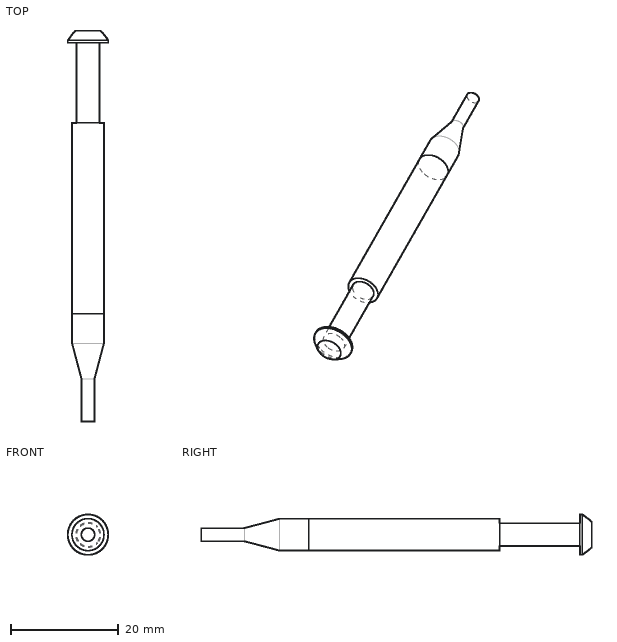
import cadquery as cq

total_length = 72.8

head_diameter = 7.6
head_flat_diameter = 4.65
head_height = 2.25
rim_height = 0.45
dome_mid_radius = 3.35
dome_mid_depth = 1.2
shaft_diameter = 4.3
shaft_length = 14.9

barrel_diameter = 6.0
collar_length = 5.5
cone_length = 6.55
tip_length = 8.0
tip_diameter = 2.5

tip_end = -total_length / 2
cone_front = tip_end + tip_length
collar_front = cone_front + cone_length
barrel_front = collar_front + collar_length
head_top = total_length / 2
head_underside = head_top - head_height
barrel_back = head_underside - shaft_length


def revolve_about_y(profile):
    """Turn a closed half profile, drawn as (radius, Y), into a round body."""
    return profile.close().revolve(360, (0, 0, 0), (0, 1, 0))


def make_plunger():
    """Shaft seated on the barrel's back face, with a domed head at its far end."""
    rim_top = head_underside + rim_height
    profile = (
        cq.Workplane("XY")
        .moveTo(0, barrel_back)
        .lineTo(shaft_diameter / 2, barrel_back)
        .lineTo(shaft_diameter / 2, head_underside)
        .lineTo(head_diameter / 2, head_underside)
        .lineTo(head_diameter / 2, rim_top)
        .threePointArc((dome_mid_radius, head_top - dome_mid_depth), (head_flat_diameter / 2, head_top))
        .lineTo(0, head_top)
    )
    return revolve_about_y(profile)


def make_barrel():
    """Plain cylinder between the nose and the plunger."""
    profile = (
        cq.Workplane("XY")
        .moveTo(0, barrel_front)
        .lineTo(barrel_diameter / 2, barrel_front)
        .lineTo(barrel_diameter / 2, barrel_back)
        .lineTo(0, barrel_back)
    )
    return revolve_about_y(profile)


def make_nose():
    """Collar that tapers down to a thin cylindrical tip."""
    profile = (
        cq.Workplane("XY")
        .moveTo(0, tip_end)
        .lineTo(tip_diameter / 2, tip_end)
        .lineTo(tip_diameter / 2, cone_front)
        .lineTo(barrel_diameter / 2, collar_front)
        .lineTo(barrel_diameter / 2, barrel_front)
        .lineTo(0, barrel_front)
    )
    return revolve_about_y(profile)


plunger = make_plunger()
barrel = make_barrel()
nose = make_nose()

result = cq.Compound.makeCompound([plunger.val(), barrel.val(), nose.val()])